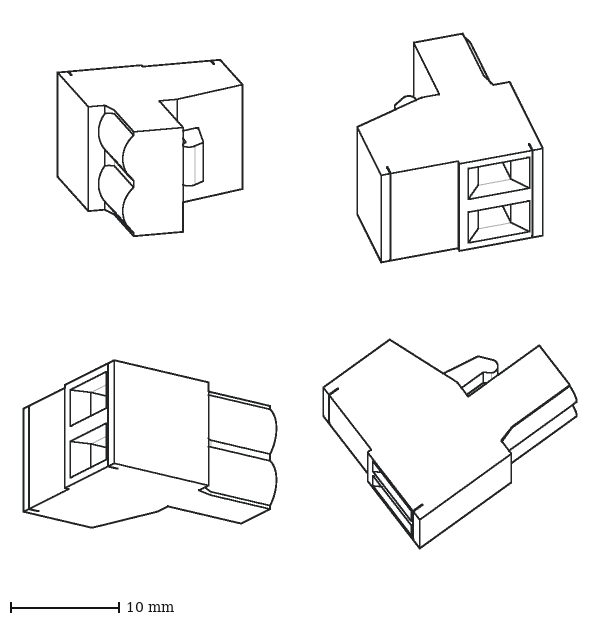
import cadquery as cq
import math

length = 18.85
depth = 15.5
height = 10.16

step_x = 0.43
step_y = 8.07
back_x = 8.1
front_corner_x = 10.57
neck_x = 10.65
neck_y = 8.5

plug_back_y = 6.79
plug_front_y = 2.04
ramp_start_y = 1.58
ramp_end_x = 12.18
barrel_radius = 2.83
barrel_front_y = 0.98

pole_pitch = 5.07
pole_heights = [height / 2 - pole_pitch / 2, height / 2 + pole_pitch / 2]

entry_y = 4.26
entry_width = 5.94
entry_height = 3.58
throat_width = 3.15
throat_height = 2.83
funnel_depth = 1.35
throat_depth = 4.3

slit_width = 0.08
slit_depth = 1.05
front_slit_y = 1.02
back_slit_y = 14.59

latch_width = 3.77
latch_root_x = 9.88
latch_root_y = 10.75
latch_shoulder_x = 14.21
latch_shoulder_y = 10.03
latch_tip_x = 14.6
latch_tip_y = 8.52
latch_tip_radius = 0.62
latch_flank_x = 15.08
latch_flank_y = 8.93
latch_hook_x = 14.25
latch_hook_y = 8.01
latch_bend_x = 13.67


def make_housing():
    """Housing and plug as one outline extruded over the full height."""
    outline = [
        (0, 0),
        (front_corner_x, 0),
        (front_corner_x, ramp_start_y),
        (ramp_end_x, plug_front_y),
        (length, plug_front_y),
        (length, plug_back_y),
        (neck_x, plug_back_y),
        (neck_x, neck_y),
        (back_x, depth),
        (step_x, depth),
        (step_x, step_y),
        (0, step_y),
    ]
    return cq.Workplane("XY").polyline(outline).close().extrude(height)


def make_barrel(pole_z):
    """Round contact barrel that stands out of the front of the plug."""
    return (
        cq.Workplane("YZ", origin=(front_corner_x, barrel_front_y + barrel_radius, pole_z))
        .circle(barrel_radius)
        .extrude(length - front_corner_x)
        .intersect(
            cq.Workplane("XY").box(length, plug_back_y, height, centered=False)
        )
    )


def make_entry(pole_z):
    """Tapered wire entry leading into a straight rectangular throat with a flat floor."""
    funnel = (
        cq.Workplane("YZ", origin=(0, entry_y, pole_z))
        .rect(entry_width, entry_height)
        .workplane(offset=funnel_depth)
        .rect(throat_width, throat_height)
        .loft(ruled=True)
    )
    throat = (
        cq.Workplane("YZ", origin=(funnel_depth, entry_y, pole_z))
        .rect(throat_width, throat_height)
        .extrude(throat_depth)
    )
    return funnel.union(throat)


def make_slit(face_x, slit_y):
    """Thin full-height slit cut inward from the wire entry face."""
    return (
        cq.Workplane("XY", origin=(face_x, slit_y - slit_width / 2, 0))
        .box(slit_depth, slit_width, height, centered=False)
    )


def make_latch():
    """Hooked latch arm centred in the height, rooted inside the housing."""
    tip_angle = math.radians(-60)
    tip_middle = (
        latch_tip_x + latch_tip_radius * math.cos(tip_angle),
        latch_tip_y + latch_tip_radius * math.sin(tip_angle),
    )
    return (
        cq.Workplane("XY", origin=(0, 0, (height - latch_width) / 2))
        .moveTo(latch_root_x, neck_y)
        .lineTo(latch_root_x, latch_root_y)
        .lineTo(latch_shoulder_x, latch_shoulder_y)
        .lineTo(latch_flank_x, latch_flank_y)
        .threePointArc(tip_middle, (latch_hook_x, latch_hook_y))
        .lineTo(latch_bend_x, neck_y)
        .close()
        .extrude(latch_width)
    )


result = make_housing().union(make_latch())
for pole in pole_heights:
    result = result.union(make_barrel(pole))
for pole in pole_heights:
    result = result.cut(make_entry(pole))
result = result.cut(make_slit(0, front_slit_y))
result = result.cut(make_slit(step_x, back_slit_y))